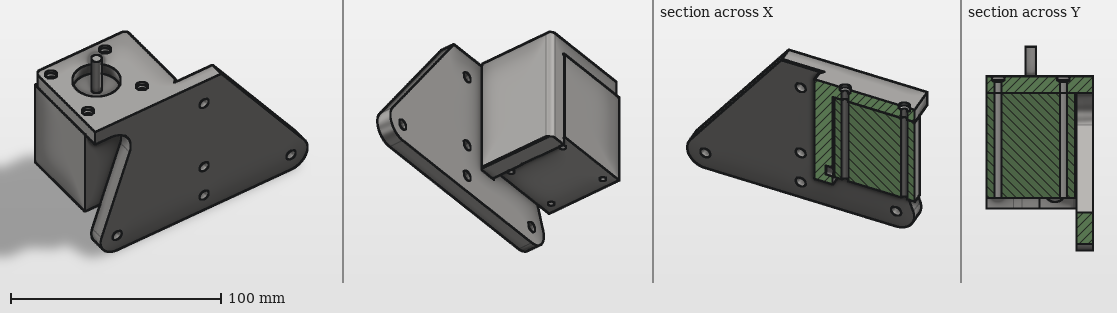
import cadquery as cq
import math

motor_side = 42.2
motor_height = 49.9
shaft_diameter = 5.0
screw_diameter = 3.2
screw_spacing = 31.0
boss_height = 2.0
motor_clearance = 0.9

overall_width = 50.7
overall_height = 97.0
bracket_height = 82.9
flange_thickness = 8.0
top_thickness = 8.1
wall_back_y = 52.8
wall_bottom_z = 19.9
corner_radius = 3.0
inner_fillet_radius = 1.2
edge_chamfer = 0.5
corner_notch = 1.1

lobe_radius = 9.5
mount_diameter = 5.3
front_lobe_y = 12.7
rear_lobe_y = 122.3 - lobe_radius
middle_hole_y = (front_lobe_y + rear_lobe_y) / 2
upper_hole_heights = (27.9, 68.8)
flange_top_rear_y = 72.6
front_edge_angle = math.radians(19)
throat_radius = 11.5

pilot_diameter = 23.0
screw_head_diameter = 5.7
screw_head_depth = 1.8
screw_cone_depth = 0.9

groove_start_x = 13.0
groove_floor_x = 17.0
groove_end_x = 25.2
groove_depth = 0.2
pocket_diameter = 9.5
pocket_x = 32.6
pocket_z = upper_hole_heights[0]
pocket_depth = 3.7

flange_x = overall_width - flange_thickness
top_underside_z = bracket_height - top_thickness
wall_front_y = motor_side + motor_clearance
wall_height = top_underside_z - wall_bottom_z
motor_center = (motor_side / 2, motor_side / 2)


def box(x0, x1, y0, y1, z0, z1):
    """Box given by its limits along each axis."""
    return cq.Workplane("XY").box(x1 - x0, y1 - y0, z1 - z0, centered=False).translate((x0, y0, z0))


def screw_points():
    """XY centers of the four motor screws."""
    cx, cy = motor_center
    half = screw_spacing / 2
    return [(cx + i * half, cy + j * half) for i in (-1, 1) for j in (-1, 1)]


def flange():
    """Side plate with tangent lobes and a concave throat under the top plate."""
    dy = flange_top_rear_y - rear_lobe_y
    dz = bracket_height - lobe_radius
    tangent_angle = math.atan2(dz, dy) - math.acos(lobe_radius / math.hypot(dy, dz))
    rear_tangent = (
        rear_lobe_y + lobe_radius * math.cos(tangent_angle),
        lobe_radius + lobe_radius * math.sin(tangent_angle),
    )
    diagonal = lobe_radius * math.sqrt(0.5)

    normal_y, normal_z = math.cos(front_edge_angle), math.sin(front_edge_angle)
    front_tangent = (front_lobe_y - lobe_radius * normal_y, lobe_radius + lobe_radius * normal_z)
    throat_center_z = top_underside_z - throat_radius
    throat_start_z = throat_center_z - throat_radius * normal_z
    throat_start_y = front_tangent[0] + (throat_start_z - front_tangent[1]) * math.tan(front_edge_angle)
    throat_center_y = throat_start_y - throat_radius * normal_y
    throat_mid_angle = (math.pi / 2 - front_edge_angle) / 2
    throat_middle = (
        throat_center_y + throat_radius * math.cos(throat_mid_angle),
        throat_center_z + throat_radius * math.sin(throat_mid_angle),
    )

    plate = (
        cq.Workplane("YZ", origin=(flange_x, 0, 0))
        .moveTo(front_lobe_y, 0)
        .lineTo(rear_lobe_y, 0)
        .threePointArc((rear_lobe_y + diagonal, lobe_radius - diagonal), rear_tangent)
        .lineTo(flange_top_rear_y, bracket_height)
        .lineTo(throat_center_y, bracket_height)
        .lineTo(throat_center_y, top_underside_z)
        .threePointArc(throat_middle, (throat_start_y, throat_start_z))
        .lineTo(*front_tangent)
        .threePointArc((front_lobe_y - diagonal, lobe_radius - diagonal), (front_lobe_y, 0))
        .close()
        .extrude(flange_thickness)
    )
    hole_points = [(y, lobe_radius) for y in (front_lobe_y, middle_hole_y, rear_lobe_y)]
    hole_points += [(middle_hole_y, z) for z in upper_hole_heights]
    holes = (
        cq.Workplane("YZ", origin=(flange_x, 0, 0))
        .pushPoints(hole_points)
        .circle(mount_diameter / 2)
        .extrude(flange_thickness)
    )
    return plate.cut(holes)


def motor_cover():
    """Top plate and rear wall around the motor, with rounded free corners."""
    top = box(0, overall_width, 0, wall_back_y, top_underside_z, bracket_height)
    wall = box(0, overall_width, wall_front_y, wall_back_y, wall_bottom_z, top_underside_z)
    cover = top.union(wall).edges("|X and >Y").chamfer(edge_chamfer)
    back_corner = cover.edges("|Z and <X and >Y")
    front_corner = cover.edges("|Z and <X and <Y")
    return back_corner.add(front_corner).fillet(corner_radius)


def inner_fillet():
    """Concave round where the rear wall meets the flange."""
    corner = box(
        flange_x - inner_fillet_radius, flange_x,
        wall_front_y - inner_fillet_radius, wall_front_y,
        wall_bottom_z, top_underside_z,
    )
    round_cut = (
        cq.Workplane("XY", origin=(0, 0, wall_bottom_z))
        .center(flange_x - inner_fillet_radius, wall_front_y - inner_fillet_radius)
        .circle(inner_fillet_radius)
        .extrude(wall_height)
    )
    return corner.cut(round_cut)


def rear_corner_notch():
    """Triangular relief where the back of the wall meets the flange."""
    return (
        cq.Workplane("XY", origin=(0, 0, wall_bottom_z))
        .moveTo(flange_x - corner_notch, wall_back_y)
        .lineTo(flange_x, wall_back_y)
        .lineTo(flange_x, wall_back_y - corner_notch)
        .close()
        .extrude(bracket_height - wall_bottom_z)
    )


def wall_groove():
    """Shallow upright groove in the wall's inner face, ramped on its -X side."""
    return (
        cq.Workplane("XY", origin=(0, 0, wall_bottom_z))
        .moveTo(groove_start_x, wall_front_y)
        .lineTo(groove_floor_x, wall_front_y + groove_depth)
        .lineTo(groove_end_x, wall_front_y + groove_depth)
        .lineTo(groove_end_x, wall_front_y)
        .close()
        .extrude(wall_height)
    )


def wall_pocket():
    """Blind round pocket in the wall's inner face."""
    return (
        cq.Workplane("XZ", origin=(pocket_x, wall_front_y, pocket_z))
        .circle(pocket_diameter / 2)
        .extrude(-pocket_depth)
    )


def screw_hole():
    """Cutter for one screw hole on the Z axis: straight head recess, cone, then clearance hole."""
    cone_top_z = bracket_height - screw_head_depth
    return (
        cq.Workplane("XZ")
        .moveTo(0, bracket_height)
        .lineTo(screw_head_diameter / 2, bracket_height)
        .lineTo(screw_head_diameter / 2, cone_top_z)
        .lineTo(screw_diameter / 2, cone_top_z - screw_cone_depth)
        .lineTo(screw_diameter / 2, top_underside_z)
        .lineTo(0, top_underside_z)
        .close()
        .revolve(360, (0, 0, 0), (0, 1, 0))
    )


def make_bracket():
    """Motor bracket: top plate, rear wall and side flange in one solid."""
    bracket = flange().union(motor_cover()).union(inner_fillet()).cut(rear_corner_notch())

    inner_edges = cq.selectors.BoxSelector(
        (flange_x - corner_notch, wall_back_y - corner_notch, bracket_height - edge_chamfer),
        (flange_x + edge_chamfer, flange_top_rear_y, bracket_height + edge_chamfer),
    )
    bracket = bracket.edges(inner_edges).chamfer(edge_chamfer)

    bracket = bracket.cut(wall_groove()).cut(wall_pocket())
    top_face = cq.Workplane("XY", origin=(0, 0, bracket_height))
    pilot = top_face.center(*motor_center).circle(pilot_diameter / 2).extrude(-top_thickness)
    bracket = bracket.cut(pilot)
    for x, y in screw_points():
        bracket = bracket.cut(screw_hole().translate((x, y, 0)))
    return bracket


def make_motor():
    """Square motor with its pilot boss, shaft and four screw holes through the body."""
    bottom_z = top_underside_z - motor_height
    body = box(0, motor_side, 0, motor_side, bottom_z, top_underside_z)
    holes = (
        cq.Workplane("XY", origin=(0, 0, bottom_z))
        .pushPoints(screw_points())
        .circle(screw_diameter / 2)
        .extrude(motor_height)
    )
    boss = (
        cq.Workplane("XY", origin=(0, 0, top_underside_z))
        .center(*motor_center)
        .circle(pilot_diameter / 2)
        .extrude(boss_height)
    )
    shaft = (
        cq.Workplane("XY", origin=(0, 0, top_underside_z))
        .center(*motor_center)
        .circle(shaft_diameter / 2)
        .extrude(overall_height - top_underside_z)
    )
    return body.cut(holes).union(boss).union(shaft)


bracket = make_bracket()
motor = make_motor()
result = cq.Compound.makeCompound([bracket.val(), motor.val()])